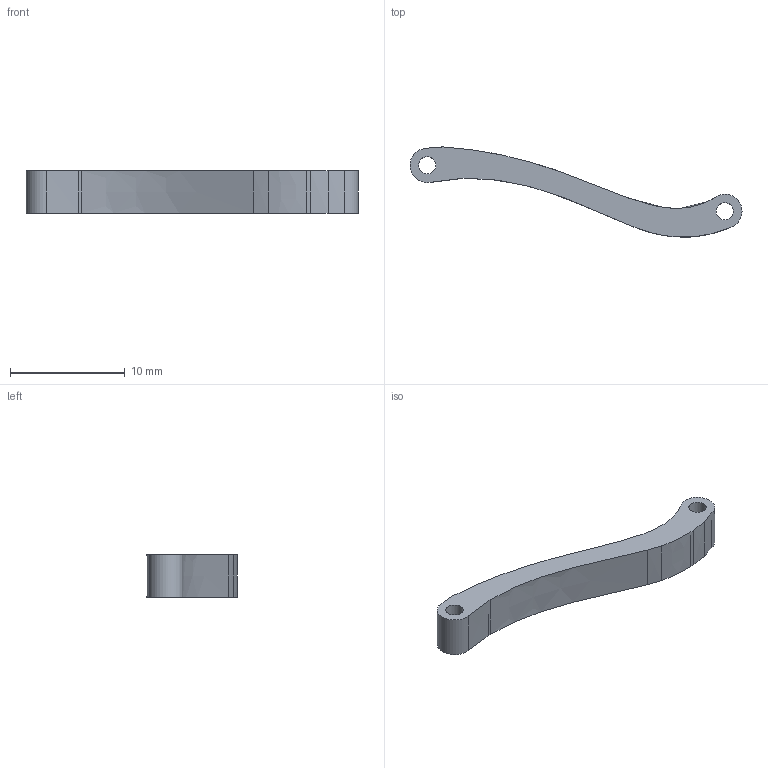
import cadquery as cq
import math

thickness = 3.7
hole_diameter = 1.5
boss_radius = 1.5
left_hole = (0.0, 0.0)
right_hole = (25.94, -4.01)

upper_left_angle = 111.0
lower_left_angle = 279.4
lower_right_angle = 281.0
upper_right_angle = 128.0


def boss_point(center, angle):
    """Point on the rim of a boss at an angle in degrees."""
    return (
        center[0] + boss_radius * math.cos(math.radians(angle)),
        center[1] + boss_radius * math.sin(math.radians(angle)),
    )


def add_side_face(outline, points):
    """Continue the outline through the points of one face, straight if there is only one."""
    if len(points) == 1:
        return outline.lineTo(*points[0])
    return outline.spline(points, includeCurrent=True)


upper_left = boss_point(left_hole, upper_left_angle)
upper_right = boss_point(right_hole, upper_right_angle)
lower_left = boss_point(left_hole, lower_left_angle)
lower_right = boss_point(right_hole, lower_right_angle)

upper_side = [
    (0.59, 1.59),
    (2.86, 1.49),
    (5.47, 1.11),
    (10.70, -0.24),
    (13.32, -1.21),
    (17.68, -2.89),
    (20.73, -3.69),
    (22.04, -3.75),
    (23.34, -3.54),
    (24.39, -3.18),
    upper_right,
]

lower_faces = [
    [(25.52, -5.73), (24.83, -5.95)],
    [(24.04, -6.12), (23.28, -6.22)],
    [(22.91, -6.24)],
    [(22.04, -6.24), (20.73, -6.13), (19.60, -5.90)],
    [(18.95, -5.71), (18.29, -5.48)],
    [(15.93, -4.50), (13.32, -3.39), (10.70, -2.36), (8.09, -1.63), (5.47, -1.21), (3.34, -1.12)],
    [(3.11, -1.13)],
    [(1.64, -1.30), lower_left],
]

outline = cq.Workplane("XY").moveTo(*upper_left)
outline = add_side_face(outline, upper_side)
outline = outline.threePointArc(boss_point(right_hole, 0), lower_right)
for face in lower_faces:
    outline = add_side_face(outline, face)
outline = outline.threePointArc(boss_point(left_hole, 180), upper_left)
link = outline.close().extrude(thickness)

hole_centers = [left_hole, right_hole]
pin_holes = cq.Workplane("XY").pushPoints(hole_centers).circle(hole_diameter / 2).extrude(thickness)

result = link.cut(pin_holes)